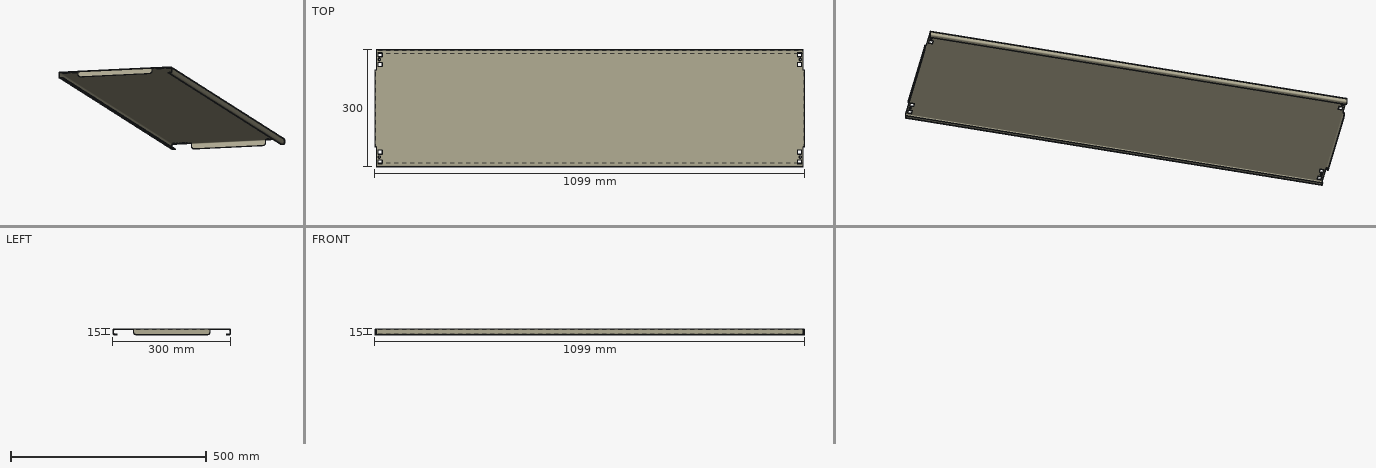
import cadquery as cq

length = 1099.0
width = 300.0
height = 15.0
sheet = 1.5
bend_radius = 3.5

panel_length = 1091.0
lip_reach = 10.0
tab_width = 197.0
tab_corner_radius = 8.0

cutout_size = 10.0
cutout_center_x = 536.0
outer_cutout_y = 137.0
inner_cutout_y = 112.0
screw_hole_diameter = 5.0
screw_hole_x = 539.0
screw_hole_y = (outer_cutout_y + inner_cutout_y) / 2

top_z = height / 2
bottom_z = -height / 2
inner_radius = bend_radius - sheet


def make_panel():
    """Flat top with two side walls and inward-turned lips, as one C-shaped channel."""
    outer = (
        cq.Workplane("YZ")
        .rect(width, height)
        .extrude(panel_length / 2, both=True)
        .edges("|X")
        .fillet(bend_radius)
    )
    inner = (
        cq.Workplane("YZ")
        .rect(width - 2 * sheet, height - 2 * sheet)
        .extrude(panel_length / 2, both=True)
        .edges("|X")
        .fillet(inner_radius)
    )
    opening = (
        cq.Workplane("XY")
        .box(panel_length, width - 2 * lip_reach, height / 2)
        .translate((0, 0, bottom_z))
    )
    return outer.cut(inner).cut(opening)


def make_end_tab():
    """Tab at the +X end, bent down from the top sheet and rounded at its lower corners."""
    start_x = panel_length / 2 - bend_radius
    end_x = length / 2
    profile = (
        cq.Workplane("XZ")
        .moveTo(start_x, top_z)
        .lineTo(end_x - bend_radius, top_z)
        .radiusArc((end_x, top_z - bend_radius), bend_radius)
        .lineTo(end_x, bottom_z)
        .lineTo(end_x - sheet, bottom_z)
        .lineTo(end_x - sheet, top_z - bend_radius)
        .radiusArc((end_x - bend_radius, top_z - sheet), -inner_radius)
        .lineTo(start_x, top_z - sheet)
        .close()
    )
    tab = profile.extrude(tab_width / 2, both=True)
    lower_corners = tab.faces("<Z").edges("|X")
    return lower_corners.fillet(tab_corner_radius)


def make_corner_cutouts():
    """At each corner, two square openings with a screw hole between them."""
    signs = (-1, 1)
    square_centers = [
        (sx * cutout_center_x, sy * y)
        for sx in signs
        for sy in signs
        for y in (inner_cutout_y, outer_cutout_y)
    ]
    screw_centers = [(sx * screw_hole_x, sy * screw_hole_y) for sx in signs for sy in signs]
    sheet_bottom = cq.Workplane("XY").workplane(offset=top_z - sheet)
    squares = sheet_bottom.pushPoints(square_centers).rect(cutout_size, cutout_size).extrude(sheet)
    screws = sheet_bottom.pushPoints(screw_centers).circle(screw_hole_diameter / 2).extrude(sheet)
    return squares.union(screws)


end_tab = make_end_tab()
result = (
    make_panel()
    .union(end_tab)
    .union(end_tab.mirror("YZ"))
    .cut(make_corner_cutouts())
)